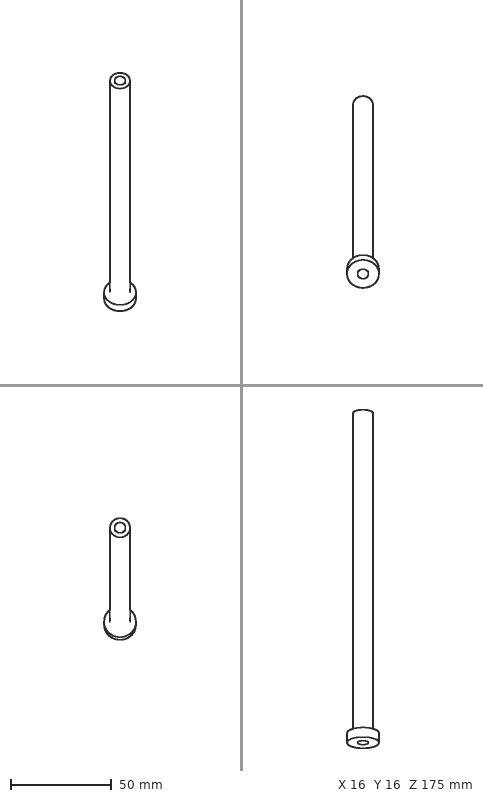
import cadquery as cq

total_length = 175.0
head_diameter = 16.0
head_thickness = 5.0

tube_diameter = 10.0
bore_diameter = 5.5
neck_fillet = 0.5

head = cq.Workplane("XY").circle(head_diameter / 2).extrude(head_thickness)
body = (
    head.faces(">Z").workplane()
    .circle(tube_diameter / 2)
    .extrude(total_length - head_thickness)
)

body = body.faces(">Z[1]").edges(cq.selectors.RadiusNthSelector(0)).fillet(neck_fillet)

bore = cq.Workplane("XY").circle(bore_diameter / 2).extrude(total_length)
result = body.cut(bore)